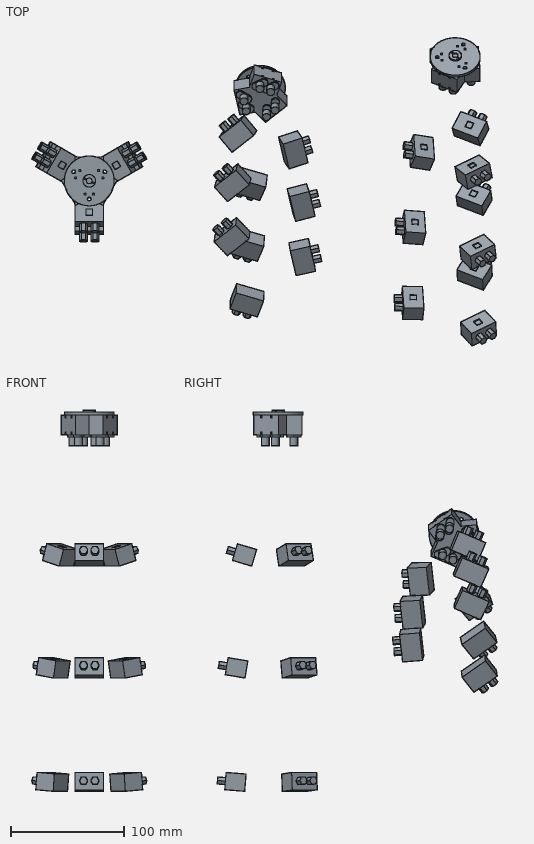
import cadquery as cq

ARM_COUNT = 3
ARM_ANGLES = [i * 360 / ARM_COUNT for i in range(ARM_COUNT)]

CAMERA_WIDTH = 25.5
LENS_SPACING = 10.0
LENS_CENTRES = [(-LENS_SPACING / 2, 0), (LENS_SPACING / 2, 0)]

HEAD_TOP_Z = 336.5
HUB_DIAMETER = 11.0
HUB_HEIGHT = 1.7
HUB_BORE_DIAMETER = 5.0
HUB_RECESS_DEPTH = 1.0
HUB_SLOT_WIDTH = 1.0
HUB_SLOT_ANGLE = -25.0
DISC_DIAMETER = 44.0
DISC_THICKNESS = 2.7
ARM_REACH = 21.2
ARM_HEIGHT = 17.5
DISC_TOP_Z = HEAD_TOP_Z - HUB_HEIGHT
ARM_TOP_Z = DISC_TOP_Z - DISC_THICKNESS
ARM_BOTTOM_Z = ARM_TOP_Z - ARM_HEIGHT

WIDE_HOLE_DIAMETER = 3.15
WIDE_HOLE_RADIUS = 15.8
NARROW_HOLE_DIAMETER = 1.78
NARROW_HOLE_RADIUS = 11.8
NARROW_HOLE_SPACING = 7.5

END_HOLE_DIAMETER = 1.6
END_HOLE_DEPTH = 3.5
END_HOLE_SPACING = 10.0
END_HOLE_EDGE = 1.7

HEAD_LENS_RADIUS = 13.8
HEAD_LENS_DIAMETER = 7.0
HEAD_LENS_LENGTH = 7.7
FLANGE_THICKNESS = 2.0
FLANGE_LENGTH = 15.0
FLANGE_ANGLE = 135.0

BLOCK_DEPTH = 17.8
BLOCK_HEIGHT = 15.5
BLOCK_LENS_WIDTH = 7.5
BLOCK_LENS_LENGTH = 7.0
HEXAGON_SIDES = 6
POCKET_SIZE = 5.7
POCKET_DEPTH = 1.0

RINGS = [
    (16.5, 29.5, 208.5),
    (9.5, 36.7, 109.0),
    (4.5, 37.7, 8.5),
]


def turned(shape, angle):
    """Turn a shape about the vertical axis of the assembly."""
    return shape.rotate((0, 0, 0), (0, 0, 1), angle)


def make_arm():
    """Head arm pointing to -Y, with holes in its end face."""
    arm = (
        cq.Workplane("XY", origin=(0, -ARM_REACH / 2, ARM_BOTTOM_Z))
        .rect(CAMERA_WIDTH, ARM_REACH)
        .extrude(ARM_HEIGHT)
    )
    end_holes = (
        cq.Workplane("XZ", origin=(0, -ARM_REACH, ARM_BOTTOM_Z + ARM_HEIGHT / 2))
        .rect(END_HOLE_SPACING, ARM_HEIGHT - 2 * END_HOLE_EDGE, forConstruction=True)
        .vertices()
        .circle(END_HOLE_DIAMETER / 2)
        .extrude(-END_HOLE_DEPTH)
    )
    return arm.cut(end_holes)


def make_head_lenses():
    """Pair of downward lenses with oblong flanges for the arm pointing to -Y."""
    base = cq.Workplane("XY", origin=(0, -HEAD_LENS_RADIUS, ARM_BOTTOM_Z)).pushPoints(LENS_CENTRES)
    flanges = base.slot2D(FLANGE_LENGTH, HEAD_LENS_DIAMETER, FLANGE_ANGLE).extrude(-FLANGE_THICKNESS)
    barrels = base.circle(HEAD_LENS_DIAMETER / 2).extrude(-(FLANGE_THICKNESS + HEAD_LENS_LENGTH))
    return flanges.union(barrels)


def make_disc():
    """Disc and raised hub, with the hub bore and its diametral slot."""
    disc = cq.Workplane("XY", origin=(0, 0, ARM_TOP_Z)).circle(DISC_DIAMETER / 2).extrude(DISC_THICKNESS)
    hub = cq.Workplane("XY", origin=(0, 0, DISC_TOP_Z)).circle(HUB_DIAMETER / 2).extrude(HUB_HEIGHT)
    bore = (
        cq.Workplane("XY", origin=(0, 0, HEAD_TOP_Z))
        .circle(HUB_BORE_DIAMETER / 2)
        .extrude(-HUB_RECESS_DEPTH)
    )
    slot = (
        cq.Workplane("XY", origin=(0, 0, HEAD_TOP_Z))
        .rect(HUB_DIAMETER, HUB_SLOT_WIDTH)
        .extrude(-HUB_RECESS_DEPTH)
    )
    return disc.union(hub).cut(bore).cut(turned(slot, HUB_SLOT_ANGLE))


def make_disc_holes():
    """Cutters for the holes of one 120 degree sector, centred on -Y."""
    base = cq.Workplane("XY", origin=(0, 0, ARM_TOP_Z))
    wide = base.center(0, -WIDE_HOLE_RADIUS).circle(WIDE_HOLE_DIAMETER / 2).extrude(DISC_THICKNESS)
    narrow_centres = [(side * NARROW_HOLE_SPACING / 2, -NARROW_HOLE_RADIUS) for side in (-1, 1)]
    narrow = base.pushPoints(narrow_centres).circle(NARROW_HOLE_DIAMETER / 2).extrude(DISC_THICKNESS)
    return wide.union(narrow)


def make_head():
    """Central head: disc, hub, three arms and six lenses in one solid."""
    head = make_disc()
    for angle in ARM_ANGLES:
        head = head.union(turned(make_arm(), angle + 180))
        head = head.union(turned(make_head_lenses(), angle + 180))
    for angle in ARM_ANGLES:
        head = head.cut(turned(make_disc_holes(), angle))
    return head


def make_camera_block(tilt, radius, height):
    """Camera block facing -Y, tilted upward about its centre and moved to its ring."""
    block = cq.Workplane("XY").box(CAMERA_WIDTH, BLOCK_DEPTH, BLOCK_HEIGHT)
    lenses = (
        cq.Workplane("XZ", origin=(0, -BLOCK_DEPTH / 2, 0))
        .pushPoints(LENS_CENTRES)
        .polygon(HEXAGON_SIDES, BLOCK_LENS_WIDTH)
        .extrude(BLOCK_LENS_LENGTH)
    )
    pocket = (
        cq.Workplane("XY", origin=(0, 0, BLOCK_HEIGHT / 2))
        .rect(POCKET_SIZE, POCKET_SIZE)
        .extrude(-POCKET_DEPTH)
    )
    block = block.union(lenses).cut(pocket)
    return block.rotate((0, 0, 0), (1, 0, 0), -tilt).translate((0, -radius, height))


head = make_head()
camera_blocks = []
for tilt, radius, height in RINGS:
    for angle in ARM_ANGLES:
        camera_blocks.append(turned(make_camera_block(tilt, radius, height), angle).val())

result = cq.Compound.makeCompound([head.val(), *camera_blocks])